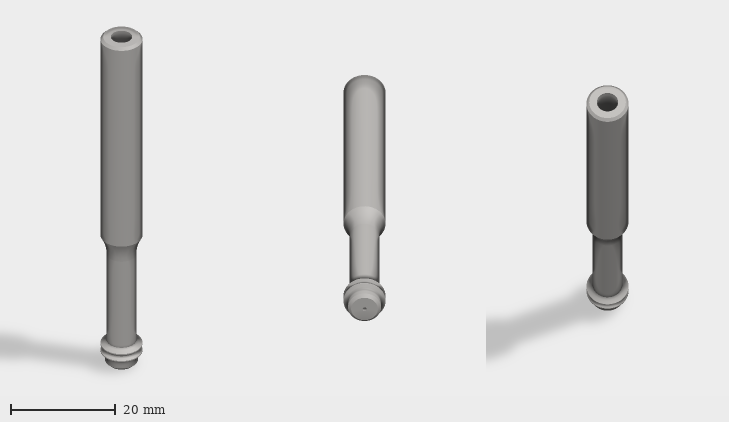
import cadquery as cq
import math

total_length = 75.0
shank_radius = 8.0 / 2
top_chamfer = 0.5
shank_bottom_z = 29.3

neck_radius = 2.85
flare_bottom_z = 25.05

core_radius = 3.15
tip_chamfer = 0.6
ring_radius = shank_radius
ring_edge_height = 0.2
ring_pitch = 1.6
lower_ring_z = 2.85
upper_ring_z = lower_ring_z + ring_pitch
flank_angle = 30.0
root_fillet_radius = 0.5

socket_radius = 2.0
socket_depth = 15.0
channel_radius = 0.4


def flank_height(root_radius):
    """Axial length of a ring flank running from its root to its edge."""
    return (ring_radius - root_radius) * math.tan(math.radians(flank_angle))


def flare_midpoint():
    """Point halfway along the flare arc, which is tangent to the neck."""
    rise = shank_bottom_z - flare_bottom_z
    spread = shank_radius - neck_radius
    arc_radius = (rise**2 + spread**2) / (2 * spread)
    half_sweep = math.asin(rise / arc_radius) / 2
    return (
        neck_radius + arc_radius * (1 - math.cos(half_sweep)),
        flare_bottom_z + arc_radius * math.sin(half_sweep),
    )


def ring_outline(center_z, upper_root_radius):
    """Radius and height of the four corners of a ring, from bottom to top."""
    edge_bottom = center_z - ring_edge_height / 2
    edge_top = center_z + ring_edge_height / 2
    return [
        (core_radius, edge_bottom - flank_height(core_radius)),
        (ring_radius, edge_bottom),
        (ring_radius, edge_top),
        (upper_root_radius, edge_top + flank_height(upper_root_radius)),
    ]


def root_fillet(root_z):
    """Start, middle and end of the arc blending the core into the lower ring's flank."""
    turn = math.radians(90 - flank_angle)
    start_z = root_z - root_fillet_radius * math.tan(turn / 2)
    return [
        (
            core_radius + root_fillet_radius * (1 - math.cos(angle)),
            start_z + root_fillet_radius * math.sin(angle),
        )
        for angle in (0, turn / 2, turn)
    ]


def turned_body():
    """Revolve the outer half profile around the Z axis."""
    profile = cq.Workplane("XZ").moveTo(0, 0)
    profile = profile.lineTo(core_radius - tip_chamfer, 0)
    profile = profile.lineTo(core_radius, tip_chamfer)
    lower_root, *lower_corners = ring_outline(lower_ring_z, core_radius)
    fillet_start, fillet_middle, fillet_end = root_fillet(lower_root[1])
    profile = profile.lineTo(*fillet_start).threePointArc(fillet_middle, fillet_end)
    corners = lower_corners + ring_outline(upper_ring_z, neck_radius)
    for radius, height in corners:
        profile = profile.lineTo(radius, height)
    profile = (
        profile.lineTo(neck_radius, flare_bottom_z)
        .threePointArc(flare_midpoint(), (shank_radius, shank_bottom_z))
        .lineTo(shank_radius, total_length - top_chamfer)
        .lineTo(shank_radius - top_chamfer, total_length)
        .lineTo(0, total_length)
        .close()
    )
    return profile.revolve(360, (0, 0, 0), (0, 1, 0))


def stepped_bore():
    """Wide socket at the top end with a fine channel through the whole length."""
    channel = cq.Workplane("XY").circle(channel_radius).extrude(total_length)
    socket = (
        cq.Workplane("XY")
        .workplane(offset=total_length - socket_depth)
        .circle(socket_radius)
        .extrude(socket_depth)
    )
    return channel.union(socket)


result = turned_body().cut(stepped_bore())